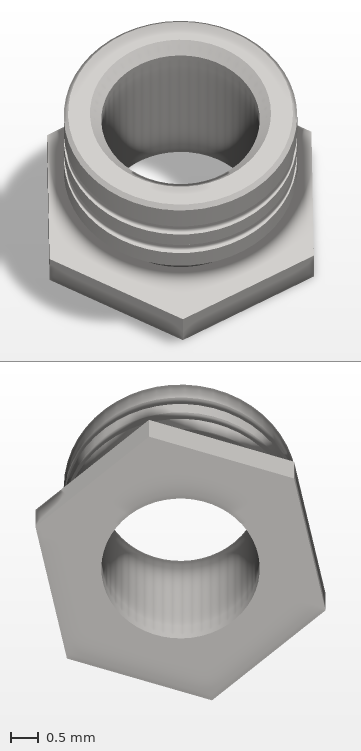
import cadquery as cq

hex_across_corners = 5.48
flange_top = 0.64

neck_top = 1.39
lower_ring_top = 1.78
lower_groove_top = 2.03
middle_ring_top = 2.35
upper_groove_top = 2.6
total_height = 3.17

neck_diameter = 3.175
groove_diameter = 3.68
ring_diameter = 4.19
rim_chamfer = 0.075

bore_diameter = 2.845
bore_chamfer = 0.205


def cylinder(diameter, bottom, top):
    """Solid cylinder on the Z axis between two heights."""
    return cq.Workplane("XY").workplane(offset=bottom).circle(diameter / 2).extrude(top - bottom)


flange = cq.Workplane("XY").polygon(6, hex_across_corners).extrude(flange_top)

barrel_sections = [
    (neck_diameter, flange_top, neck_top),
    (ring_diameter, neck_top, lower_ring_top),
    (groove_diameter, lower_ring_top, lower_groove_top),
    (ring_diameter, lower_groove_top, middle_ring_top),
    (groove_diameter, middle_ring_top, upper_groove_top),
]
body = flange
for diameter, bottom, top in barrel_sections:
    body = body.union(cylinder(diameter, bottom, top))

top_ring = cylinder(ring_diameter, upper_groove_top, total_height).faces(">Z").chamfer(rim_chamfer)
body = body.union(top_ring)

bore = cylinder(bore_diameter, 0, total_height)
result = body.cut(bore).faces(">Z").edges(cq.selectors.RadiusNthSelector(0)).chamfer(bore_chamfer)